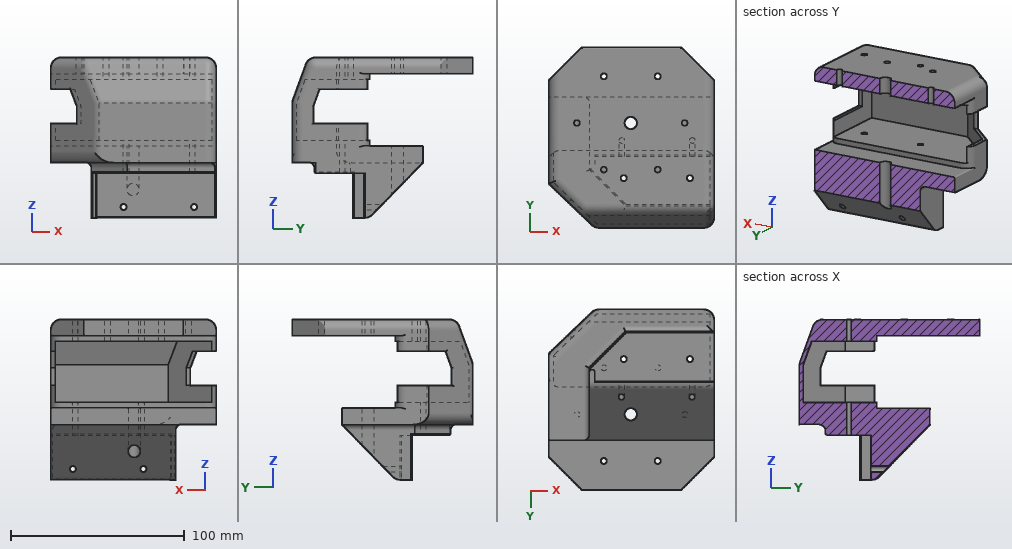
import cadquery as cq
import math

LENGTH_X = 95.2
LENGTH_Y = 104.0
LENGTH_Z = 92.4

HOUSING_BOTTOM = 31.9
PLATE = 9.6
BOTTOM_PLATE_BACK = 75.4
WALLED_DEPTH = 44.7
BEND_Z = 66.9
LEAN = math.radians(20)
FRONT_CHAMFER_X = 26.6
FRONT_CHAMFER_Y = 25.5
BACK_CHAMFER = 19.0
BIG_RADIUS = 6.3
EDGE_SIZE = 0.79

WALL = 2.5
CAVITY_STEP = 3.2
WINDOW_BOTTOM = 54.5
WINDOW_TOP = 74.0
WINDOW_FRONT = 12.4
WINDOW_BEND_Z = 64.5

BRACKET_LEFT = 23.3
BLOCK_BOTTOM = 25.7
BLOCK_FRONT = 12.8
BLOCK_CHAMFER_X = 20.8
BLOCK_CHAMFER_Y = 20.8
WEDGE_FRONT = 34.9
WEDGE_TOP_BACK = BOTTOM_PLATE_BACK
WEDGE_FOOT = 44.3
RECESS_DEPTH = 6.3
RIM = 3.3
JOINT_RADIUS = BIG_RADIUS / 2

SCREW_DIAMETER = 3.3
SHAFT_DIAMETER = 7.0
SHAFT_X = 47.2
SHAFT_Y = 60.4
SCREW_CIRCLE_RADIUS = 31.0
SCREW_COUNT = 6
BLOCK_SCREWS_X = (43.2, 81.2)
BLOCK_SCREWS_Y = 28.7
WEDGE_SCREWS_X = (41.9, 82.5)
WEDGE_SCREWS_Z = 6.3

ROOM_BOTTOM = HOUSING_BOTTOM + PLATE
ROOM_TOP = LENGTH_Z - PLATE
TINY = 0.1


def box(x_range, y_range, z_range):
    """Box between pairs of coordinates."""
    low, high = zip(x_range, y_range, z_range)
    size = [b - a for a, b in zip(low, high)]
    return cq.Workplane("XY").box(*size, centered=False).translate(low)


def side_prism(points, x_start, x_end):
    """Outline of (y, z) points extruded along X."""
    return cq.Workplane("YZ").polyline(points).close().extrude(x_end - x_start).translate((x_start, 0, 0))


def edges_within(part, x_range, y_range, z_range):
    """Edges whose centres lie inside a box."""
    low, high = zip(x_range, y_range, z_range)
    return part.edges(cq.selectors.BoxSelector(low, high))


def lean_at(z):
    """How far the front has leaned back at height z."""
    return (z - BEND_Z) * math.tan(LEAN)


def plan_prism(inset, bottom, top):
    """Plan outline of the housing, moved inward, between two heights."""
    outline = (
        cq.Workplane("XY").workplane(offset=bottom)
        .moveTo(FRONT_CHAMFER_X, 0)
        .lineTo(LENGTH_X, 0)
        .lineTo(LENGTH_X, LENGTH_Y - BACK_CHAMFER)
        .lineTo(LENGTH_X - BACK_CHAMFER, LENGTH_Y)
        .lineTo(BACK_CHAMFER, LENGTH_Y)
        .lineTo(0, LENGTH_Y - BACK_CHAMFER)
        .lineTo(0, FRONT_CHAMFER_Y)
        .close()
    )
    if inset:
        outline = outline.offset2D(-inset)
    return outline.extrude(top - bottom)


def leaning_profile(inset, back):
    """Side outline with the leaning front, moved inward by the inset."""
    shift = inset / math.cos(LEAN)
    bend = BEND_Z - inset * math.tan(LEAN / 2)
    return side_prism(
        [
            (inset, HOUSING_BOTTOM),
            (inset, bend),
            (lean_at(LENGTH_Z) + shift, LENGTH_Z),
            (back, LENGTH_Z),
            (back, HOUSING_BOTTOM),
        ],
        0,
        LENGTH_X,
    )


def shaped_block():
    """Solid housing block with its large rounded edges."""
    block = plan_prism(0, HOUSING_BOTTOM, LENGTH_Z).intersect(leaning_profile(0, LENGTH_Y))
    front = edges_within(
        block,
        (0, LENGTH_X + 1),
        (-1, LENGTH_Y - BACK_CHAMFER - 1),
        (HOUSING_BOTTOM + 1, LENGTH_Z + 1),
    )
    corner = edges_within(
        block,
        (0, TINY),
        (FRONT_CHAMFER_Y - 1, FRONT_CHAMFER_Y + 1),
        (HOUSING_BOTTOM + 1, LENGTH_Z - 1),
    )
    underside = edges_within(
        block,
        (1, FRONT_CHAMFER_X - 1),
        (1, FRONT_CHAMFER_Y - 1),
        (HOUSING_BOTTOM - 1, HOUSING_BOTTOM + 1),
    )
    keep = [edge for edge in front.vals() if not any(edge.isSame(other) for other in corner.vals())]
    return block.newObject(keep + underside.vals()).fillet(BIG_RADIUS)


def round_back_rim(block):
    """Small rounding along the top edges of the back, running on down the side corners."""
    rim = edges_within(
        block,
        (BACK_CHAMFER / 3, LENGTH_X - BACK_CHAMFER / 3),
        (LENGTH_Y - BACK_CHAMFER, LENGTH_Y + TINY),
        (LENGTH_Z - TINY, LENGTH_Z + TINY),
    )
    return rim.fillet(EDGE_SIZE)


def open_back(block):
    """Clear the back between the plates and round the wall ends and plate edges."""
    room = box((-1, LENGTH_X + 1), (WALLED_DEPTH, LENGTH_Y + 1), (ROOM_BOTTOM, ROOM_TOP))
    behind = box((-1, LENGTH_X + 1), (BOTTOM_PLATE_BACK, LENGTH_Y + 1), (0, ROOM_TOP))
    opened = block.cut(room).cut(behind)
    wall_ends = edges_within(
        opened,
        (-1, LENGTH_X + 1),
        (WALLED_DEPTH - TINY, WALLED_DEPTH + TINY),
        (ROOM_BOTTOM + 1, ROOM_TOP - 1),
    )
    opened = wall_ends.fillet(BIG_RADIUS)
    for x in (0, LENGTH_X):
        for z in (ROOM_BOTTOM, ROOM_TOP):
            plate_edge = edges_within(
                opened,
                (x - TINY, x + TINY),
                (WALLED_DEPTH, LENGTH_Y),
                (z - TINY, z + TINY),
            )
            opened = plate_edge.fillet(EDGE_SIZE)
    back_edge = edges_within(
        opened,
        (0, LENGTH_X),
        (BOTTOM_PLATE_BACK - TINY, BOTTOM_PLATE_BACK + TINY),
        (ROOM_BOTTOM - TINY, ROOM_BOTTOM + TINY),
    )
    return back_edge.fillet(EDGE_SIZE)


def cavity():
    """Space between the walls, open to the back."""
    bottom = ROOM_BOTTOM + CAVITY_STEP
    top = ROOM_TOP - CAVITY_STEP
    space = plan_prism(WALL, bottom, top).intersect(leaning_profile(WALL, LENGTH_Y))
    return space.intersect(box((0, LENGTH_X), (0, WALLED_DEPTH + 1), (bottom, top)))


def window():
    """Side window through both walls, its front edge following the lean of the housing."""
    return side_prism(
        [
            (WINDOW_FRONT, WINDOW_BOTTOM),
            (WINDOW_FRONT, WINDOW_BEND_Z),
            (WINDOW_FRONT + (WINDOW_TOP - WINDOW_BEND_Z) * math.tan(LEAN), WINDOW_TOP),
            (WALLED_DEPTH + 1, WINDOW_TOP),
            (WALLED_DEPTH + 1, WINDOW_BOTTOM),
        ],
        -1,
        LENGTH_X + 1,
    )


def upright_edge(part, x, y):
    """Upright edge of a part standing at a given place in plan."""
    return edges_within(part, (x - TINY, x + TINY), (y - TINY, y + TINY), (0, HOUSING_BOTTOM))


def bracket_block():
    """Block under the housing, with a chamfered corner and chamfered lower edges."""
    block = (
        cq.Workplane("XY").workplane(offset=BLOCK_BOTTOM)
        .moveTo(BRACKET_LEFT + BLOCK_CHAMFER_X, BLOCK_FRONT)
        .lineTo(LENGTH_X, BLOCK_FRONT)
        .lineTo(LENGTH_X, WEDGE_TOP_BACK)
        .lineTo(BRACKET_LEFT, WEDGE_TOP_BACK)
        .lineTo(BRACKET_LEFT, BLOCK_FRONT + BLOCK_CHAMFER_Y)
        .close()
        .extrude(HOUSING_BOTTOM - BLOCK_BOTTOM)
    )
    block = upright_edge(block, LENGTH_X, BLOCK_FRONT).chamfer(EDGE_SIZE)
    lower_edges = edges_within(
        block,
        (BRACKET_LEFT - TINY, LENGTH_X - 1),
        (BLOCK_FRONT - TINY, WEDGE_TOP_BACK - 1),
        (BLOCK_BOTTOM - TINY, BLOCK_BOTTOM + TINY),
    )
    return lower_edges.chamfer(EDGE_SIZE)


def wedge_outline():
    """Side outline of the bracket: upright front, sloping back and rounded foot."""
    outline = side_prism(
        [(0, HOUSING_BOTTOM), (0, 0), (WEDGE_FOOT, 0), (WEDGE_TOP_BACK, HOUSING_BOTTOM)],
        BRACKET_LEFT,
        LENGTH_X,
    )
    foot = edges_within(outline, (0, LENGTH_X), (WEDGE_FOOT - 1, WEDGE_FOOT + 1), (-1, 1))
    return foot.fillet(BIG_RADIUS)


def wedge():
    """Wedge whose front steps back to a mounting face, leaving a rim on its left."""
    mounting_face = WEDGE_FRONT + RECESS_DEPTH
    rim_right = BRACKET_LEFT + RIM
    body = box((BRACKET_LEFT, LENGTH_X), (WEDGE_FRONT, WEDGE_TOP_BACK), (0, HOUSING_BOTTOM))
    recess = side_prism(
        [
            (WEDGE_FRONT - 1, -EDGE_SIZE),
            (mounting_face + 2 * EDGE_SIZE, -EDGE_SIZE),
            (mounting_face, EDGE_SIZE),
            (mounting_face, HOUSING_BOTTOM),
            (WEDGE_FRONT - 1, HOUSING_BOTTOM),
        ],
        rim_right,
        LENGTH_X,
    )
    body = body.cut(recess)
    for x, y in (
        (BRACKET_LEFT, WEDGE_FRONT),
        (rim_right, WEDGE_FRONT),
        (LENGTH_X, mounting_face),
    ):
        body = upright_edge(body, x, y).chamfer(EDGE_SIZE)
    return body


def bracket():
    """Block and wedge, trimmed to the side outline."""
    return bracket_block().union(wedge()).intersect(wedge_outline())


def join_bracket(housing):
    """Add the bracket with a rounded joint along its left, chamfer and front."""
    joined = housing.union(bracket())
    joint = edges_within(
        joined,
        (BRACKET_LEFT - TINY, LENGTH_X - 1),
        (BLOCK_FRONT - TINY, BOTTOM_PLATE_BACK - 1),
        (HOUSING_BOTTOM - TINY, HOUSING_BOTTOM + TINY),
    )
    return joint.fillet(JOINT_RADIUS)


def round_window(part):
    """Small rounding around the window on the front chamfer and along its top on the left."""
    near_chamfer = edges_within(
        part,
        (-TINY, FRONT_CHAMFER_X),
        (WINDOW_FRONT - TINY, FRONT_CHAMFER_Y),
        (WINDOW_BOTTOM - TINY, WINDOW_TOP + TINY),
    )
    along_top = edges_within(
        part,
        (-TINY, WALL - TINY),
        (FRONT_CHAMFER_Y, WALLED_DEPTH),
        (WINDOW_TOP - TINY, WINDOW_TOP + TINY),
    )
    on_chamfer = [
        edge
        for edge in near_chamfer.vals()
        if abs(edge.Center().x / FRONT_CHAMFER_X + edge.Center().y / FRONT_CHAMFER_Y - 1) < TINY / 10.4
    ]
    return part.newObject(on_chamfer + along_top.vals()).fillet(EDGE_SIZE)


def z_hole(x, y, diameter, bottom, top):
    """Upright hole cutter."""
    return cq.Workplane("XY").center(x, y).circle(diameter / 2).extrude(top - bottom).translate((0, 0, bottom))


def drill_holes(part):
    """Shaft hole, its circle of screws, and the screws of the block and the wedge."""
    for index in range(SCREW_COUNT):
        angle = math.radians(index * 360 / SCREW_COUNT)
        x = SHAFT_X + SCREW_CIRCLE_RADIUS * math.cos(angle)
        y = SHAFT_Y + SCREW_CIRCLE_RADIUS * math.sin(angle)
        part = part.cut(z_hole(x, y, SCREW_DIAMETER, ROOM_TOP - CAVITY_STEP - 1, LENGTH_Z + 1))
    part = part.cut(z_hole(SHAFT_X, SHAFT_Y, SHAFT_DIAMETER, -1, LENGTH_Z + 1))
    for x in BLOCK_SCREWS_X:
        part = part.cut(z_hole(x, BLOCK_SCREWS_Y, SCREW_DIAMETER, 0, LENGTH_Z + 1))
    for x in WEDGE_SCREWS_X:
        hole = cq.Workplane("XZ").center(x, WEDGE_SCREWS_Z).circle(SCREW_DIAMETER / 2).extrude(-LENGTH_Y)
        part = part.cut(hole)
    return part


housing = open_back(round_back_rim(shaped_block()))
housing = housing.cut(cavity()).cut(window())
result = round_window(drill_holes(join_bracket(housing)))